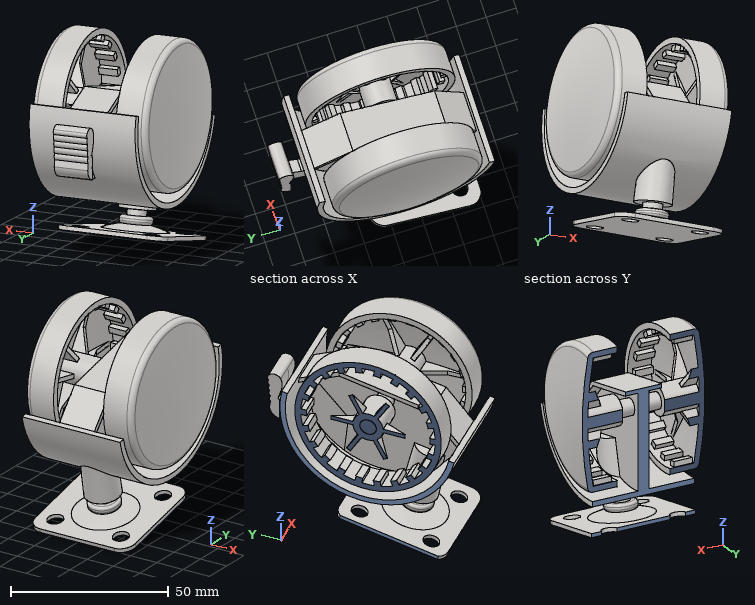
import cadquery as cq
import math

TILT = 12.4

wheel_radius = 25.01
wheel_inner_face = 9.5
wheel_edge_x = 18.4
wheel_edge_radius = 2.0
wheel_apex_x = 22.49
dome_edge_angle = math.radians(10)
shell_wall = 2.195
cavity_radius = wheel_radius - shell_wall
hub_radius = 5.25
hub_end_x = 7.6

rib_count = 6
rib_phase = 2.0
rib_width = 1.6
rib_hub_x = 14.7
rib_knee_radius = 13.3
rib_knee_x = 18.3
rib_tip_radius = cavity_radius + 0.7
rib_tip_x = 18.7
rib_tip_depth = 0.7

tooth_count = 22
tooth_width = 2.45
tooth_height = 1.9
tooth_start_x = 11.4
tooth_length = 6.7

axle_radius = 2.915
axle_half_length = 18.0

shield_outer_radius = 30.1
shield_wall = 2.0
shield_inner_radius = shield_outer_radius - shield_wall
shield_half_width = 18.7
fin_half_width = 6.6
fin_top = 6.8
fin_top_half_length = 16.1
fin_side_slope = 0.742
fin_wall = 1.5
web_half_width = 2.15
socket_y = -18.1
socket_bottom = -32.0
socket_top = -12.3
socket_bottom_radius = 6.2
socket_top_radius = 5.75

plate_size = 38.15
plate_y = -16.0
plate_bottom = -40.4
plate_thickness = 1.5
plate_top = plate_bottom + plate_thickness
plate_corner_radius = 5.0
plate_hole_diameter = 5.4
plate_hole_spacing = 25.0
cap_radius = 11.0
cap_height = 2.4
collar_radius = 5.505
collar_bottom = -37.0
collar_top = -34.2
collar_fillet = 1.0
stem_radius = 3.25
stem_top = -18.0

lever_arm_half_width = web_half_width
lever_handle_half_width = 5.9
lever_step_y = 34.7


def cylinder_x(radius, x_start, x_end):
    return cq.Workplane("YZ").workplane(offset=x_start).circle(radius).extrude(x_end - x_start)


def plate_x(profile, half_width):
    return profile.extrude(half_width, both=True)


def tilted(body):
    return body.rotate((0, 0, 0), (1, 0, 0), TILT)


dome_rim_x = wheel_edge_x + wheel_edge_radius * math.cos(dome_edge_angle)
dome_rim_radius = wheel_radius - wheel_edge_radius * (1 - math.sin(dome_edge_angle))
dome_sag = wheel_apex_x - dome_rim_x
dome_radius = (dome_rim_radius**2 + dome_sag**2) / (2 * dome_sag)


def inner_dome_x(radius):
    """X of the inner dome surface at a distance from the wheel axis."""
    return wheel_apex_x - dome_radius + math.sqrt((dome_radius - shell_wall) ** 2 - radius**2)


def dome_x(radius):
    """X of the outer dome surface at a distance from the wheel axis."""
    return wheel_apex_x - dome_radius + math.sqrt(dome_radius**2 - radius**2)


def wheel_shell():
    edge_middle_angle = (math.pi / 2 + dome_edge_angle) / 2
    edge_middle = (
        wheel_edge_x + wheel_edge_radius * math.cos(edge_middle_angle),
        wheel_radius - wheel_edge_radius * (1 - math.sin(edge_middle_angle)),
    )
    return (
        cq.Workplane("XY")
        .moveTo(wheel_inner_face, cavity_radius)
        .lineTo(wheel_inner_face, wheel_radius)
        .lineTo(wheel_edge_x, wheel_radius)
        .threePointArc(edge_middle, (dome_rim_x, dome_rim_radius))
        .threePointArc((dome_x(dome_rim_radius / 2), dome_rim_radius / 2), (wheel_apex_x, 0))
        .lineTo(hub_end_x, 0)
        .lineTo(hub_end_x, hub_radius)
        .lineTo(inner_dome_x(hub_radius), hub_radius)
        .threePointArc(
            (inner_dome_x(cavity_radius / 2), cavity_radius / 2),
            (inner_dome_x(cavity_radius), cavity_radius),
        )
        .close()
        .revolve(360, (0, 0, 0), (1, 0, 0))
    )


def wheel_rib():
    root_radius = hub_radius / 2
    profile = (
        cq.Workplane("XY")
        .moveTo(wheel_apex_x - shell_wall / 2, root_radius)
        .lineTo(rib_hub_x, root_radius)
        .lineTo(rib_hub_x, hub_radius)
        .lineTo(rib_knee_x, rib_knee_radius)
        .lineTo(rib_tip_x, rib_tip_radius)
        .lineTo(rib_tip_x + rib_tip_depth, rib_tip_radius)
        .close()
    )
    return plate_x(profile, rib_width / 2)


def brake_tooth():
    root_overlap = shell_wall / 2
    return cq.Workplane("XY").box(
        tooth_length, tooth_height + root_overlap, tooth_width, centered=(False, False, True)
    ).translate((tooth_start_x, cavity_radius - tooth_height, 0))


def make_wheel():
    wheel = wheel_shell()
    for i in range(rib_count):
        wheel = wheel.union(wheel_rib().rotate((0, 0, 0), (1, 0, 0), rib_phase + i * 360 / rib_count))
    for i in range(tooth_count):
        wheel = wheel.union(brake_tooth().rotate((0, 0, 0), (1, 0, 0), i * 360 / tooth_count))
    return wheel.cut(cylinder_x(axle_radius, 0, axle_half_length))


def arc_point(radius, y):
    """Point of the lower half of a circle about the wheel axis."""
    return (y, -math.sqrt(radius**2 - y**2))


def lever_handle():
    grip_notches = [(38.5, -0.1), (38.3, -2.2), (38.15, -4.25), (37.9, -6.4), (37.85, -8.5)]
    notch_bulge = 0.35
    profile = (
        cq.Workplane("YZ")
        .moveTo(lever_step_y, -14.6)
        .lineTo(lever_step_y, -7.2)
        .lineTo(35.2, -6.4)
        .spline([(34.1, -2.95), (33.8, -0.4), (34.3, 1.45)], includeCurrent=True)
        .threePointArc((36.7, 2.7), (38.65, 1.6))
    )
    last = (38.65, 1.6)
    for notch in grip_notches:
        bulge = ((last[0] + notch[0]) / 2 + notch_bulge, (last[1] + notch[1]) / 2)
        profile = profile.threePointArc(bulge, notch)
        last = notch
    profile = profile.lineTo(38.2, -10.7).threePointArc((37.15, -13.25), (lever_step_y, -14.6)).close()
    return plate_x(profile, lever_handle_half_width)


def lever_arm():
    """Arm through the shield, widening to a shoe that lies on the inside of the shield."""
    r = shield_inner_radius
    profile = (
        cq.Workplane("YZ")
        .moveTo(lever_step_y, -7.2)
        .lineTo(30.1, -9.65)
        .lineTo(*arc_point(r, 26.3))
        .threePointArc(arc_point(r, 27.35), arc_point(r, 28.0))
        .threePointArc((26.9, -0.5), (23.75, 1.3))
        .lineTo(12.7, -10.8)
        .lineTo(*arc_point(r, 14.1))
        .threePointArc(arc_point(r, 18.7), arc_point(r, 22.6))
        .lineTo(27.1, -16.6)
        .lineTo(lever_step_y, -14.6)
        .close()
    )
    return plate_x(profile, lever_arm_half_width)


def make_lever():
    return lever_arm().union(lever_handle())


def shield():
    ring = cylinder_x(shield_outer_radius, -shield_half_width, shield_half_width).cut(
        cylinder_x(shield_inner_radius, -shield_half_width, shield_half_width)
    )
    size = 3 * shield_outer_radius
    upper_half = cq.Workplane("XY").box(size, size, size, centered=(True, True, False))
    return ring.cut(upper_half)


def fin_profile(top, top_half_length, round_radius, half_width):
    """Trapezoid with sloped ends, cut round below by a circle about the wheel axis."""
    reach = shield_outer_radius
    end_z = top - (reach - top_half_length) * fin_side_slope
    outline = (
        cq.Workplane("YZ")
        .polyline(
            [
                (-reach, -reach),
                (-reach, end_z),
                (-top_half_length, top),
                (top_half_length, top),
                (reach, end_z),
                (reach, -reach),
            ]
        )
        .close()
    )
    return plate_x(outline, half_width).intersect(cylinder_x(round_radius, -half_width, half_width))


def fin():
    """Frame of constant wall around a central web."""
    body = fin_profile(fin_top, fin_top_half_length, shield_inner_radius + shield_wall / 2, fin_half_width)
    corner_shift = fin_wall * (math.sqrt(1 + fin_side_slope**2) - 1) / fin_side_slope
    pocket = fin_profile(
        fin_top - fin_wall, fin_top_half_length - corner_shift, shield_inner_radius, fin_half_width
    )
    web = cylinder_x(shield_outer_radius, -web_half_width, web_half_width)
    return body.cut(pocket.cut(web))


def socket():
    return (
        cq.Workplane("XY", origin=(0, socket_y, socket_bottom))
        .circle(socket_bottom_radius)
        .workplane(offset=socket_top - socket_bottom)
        .circle(socket_top_radius)
        .loft()
    )


def make_housing(axle, swivel, lever):
    body = tilted(shield().union(fin()).union(socket()))
    return body.cut(axle).cut(swivel).cut(lever)


def base_plate():
    return (
        cq.Workplane("XY", origin=(0, plate_y, plate_bottom))
        .rect(plate_size, plate_size)
        .extrude(plate_thickness)
        .edges("|Z")
        .fillet(plate_corner_radius)
        .faces(">Z")
        .workplane(origin=(0, plate_y, 0))
        .rect(plate_hole_spacing, plate_hole_spacing, forConstruction=True)
        .vertices()
        .hole(plate_hole_diameter)
    )


def stem_with_cap():
    cap_sphere_radius = (cap_radius**2 + cap_height**2) / (2 * cap_height)
    cap_middle_radius = cap_radius / 2
    cap_middle_z = (
        plate_top + cap_height - cap_sphere_radius
        + math.sqrt(cap_sphere_radius**2 - cap_middle_radius**2)
    )
    cap = (
        cq.Workplane("XZ")
        .moveTo(0, plate_top)
        .lineTo(cap_radius, plate_top)
        .threePointArc((cap_middle_radius, cap_middle_z), (0, plate_top + cap_height))
        .close()
        .revolve(360, (0, 0, 0), (0, 1, 0))
    )
    collar = (
        cq.Workplane("XY", origin=(0, 0, collar_bottom))
        .circle(collar_radius)
        .extrude(collar_top - collar_bottom)
        .edges()
        .fillet(collar_fillet)
    )
    stem = cq.Workplane("XY", origin=(0, 0, plate_top)).circle(stem_radius).extrude(stem_top - plate_top)
    return cap.union(collar).union(stem).translate((0, socket_y, 0))


def make_swivel():
    return tilted(base_plate().union(stem_with_cap()))


axle = cylinder_x(axle_radius, -axle_half_length, axle_half_length)
swivel = make_swivel()
lever = make_lever()
housing = make_housing(axle, swivel, lever)
right_wheel = make_wheel()
wheels = [right_wheel, right_wheel.mirror("YZ")]

result = cq.Compound.makeCompound(
    [housing.val(), lever.val(), axle.val(), swivel.val(), *[wheel.val() for wheel in wheels]]
)